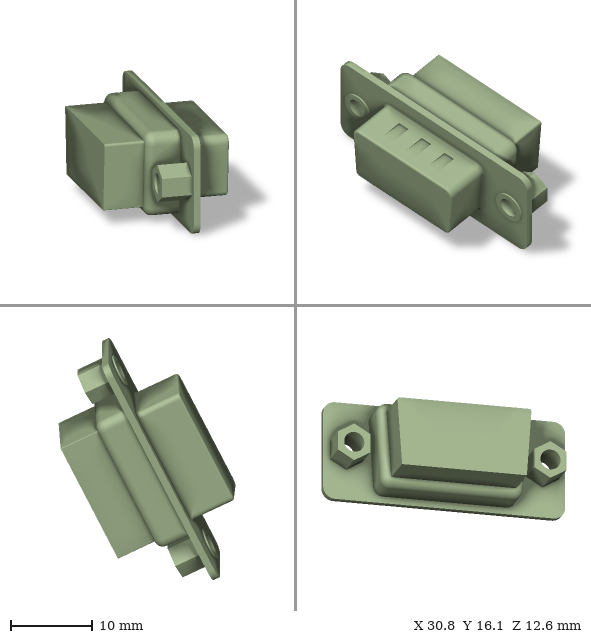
import cadquery as cq
import math


TOTAL_LENGTH = 16.1

FLANGE_WIDTH = 30.81
FLANGE_HEIGHT = 12.55
FLANGE_THICKNESS = 0.88
FLANGE_CORNER_RADIUS = 1.5

SCREW_SPACING = 24.99
HEX_SIDES = 6
HEX_ACROSS_FLATS = 4.12
HEX_LENGTH = 3.8
SCREW_HOLE_DIAMETER = 2.56
RIVET_DIAMETER = 4.06
RIVET_PROTRUSION = 0.2
RIVET_END_Y = FLANGE_THICKNESS + RIVET_PROTRUSION

SIDE_ANGLE = math.radians(4.0)
PLUG_WIDTH = 16.5
PLUG_HEIGHT = 8.65
PLUG_TOP_RADIUS = 0.3
PLUG_BOTTOM_RADIUS = 0.1
PLUG_REACH = 9.38

SHELL_MARGIN = 1.1
SHELL_REACH = 4.33
SHELL_EDGE_RADIUS = 1.07

REAR_WIDTH = 15.88
REAR_HEIGHT = 7.9
REAR_TOP_RADIUS = 1.04
REAR_BOTTOM_RADIUS = 0.7
REAR_REACH = TOTAL_LENGTH - PLUG_REACH
REAR_EDGE_RADIUS = 0.3
REAR_ROOT_RADIUS = 0.3

ROOT_SEARCH_MARGIN = 1.0
ROOT_SEARCH_TOLERANCE = 0.01

RECESS_COUNT = 3
RECESS_PITCH = 3.75
RECESS_WIDTH = 1.55
RECESS_LENGTH = 2.72
RECESS_START_Y = 2.22
RECESS_MAX_DEPTH = 0.3


def d_body(mid_width, height, top_radius, bottom_radius, y_start, y_end):
    """D-shaped prism, wider at the top, with rounded corners."""
    half_height = height / 2
    flare = half_height * math.tan(SIDE_ANGLE)
    top_half = mid_width / 2 + flare
    bottom_half = mid_width / 2 - flare
    return (
        cq.Workplane("XZ", origin=(0, y_start, 0))
        .moveTo(-top_half, half_height)
        .lineTo(top_half, half_height)
        .lineTo(bottom_half, -half_height)
        .lineTo(-bottom_half, -half_height)
        .close()
        .extrude(y_start - y_end)
        .edges("|Y and >Z")
        .fillet(top_radius)
        .edges("|Y and <Z")
        .fillet(bottom_radius)
    )


def flange():
    return (
        cq.Workplane("XZ", origin=(0, FLANGE_THICKNESS, 0))
        .rect(FLANGE_WIDTH, FLANGE_HEIGHT)
        .extrude(FLANGE_THICKNESS)
        .edges("|Y")
        .fillet(FLANGE_CORNER_RADIUS)
    )


def plug():
    return d_body(PLUG_WIDTH, PLUG_HEIGHT, PLUG_TOP_RADIUS, PLUG_BOTTOM_RADIUS, 0, -PLUG_REACH)


def front_shell():
    """Uniform offset of the plug outline with a rounded front rim."""
    return d_body(
        PLUG_WIDTH + 2 * SHELL_MARGIN / math.cos(SIDE_ANGLE),
        PLUG_HEIGHT + 2 * SHELL_MARGIN,
        PLUG_TOP_RADIUS + SHELL_MARGIN,
        PLUG_BOTTOM_RADIUS + SHELL_MARGIN,
        0,
        -SHELL_REACH,
    ).faces("<Y").edges().fillet(SHELL_EDGE_RADIUS)


def flange_with_rear_body():
    rear = d_body(
        REAR_WIDTH, REAR_HEIGHT, REAR_TOP_RADIUS, REAR_BOTTOM_RADIUS, REAR_REACH, FLANGE_THICKNESS
    ).faces(">Y").edges().fillet(REAR_EDGE_RADIUS)
    half_x = REAR_WIDTH / 2 + ROOT_SEARCH_MARGIN
    half_z = REAR_HEIGHT / 2 + ROOT_SEARCH_MARGIN
    root_edges = cq.selectors.BoxSelector(
        (-half_x, FLANGE_THICKNESS - ROOT_SEARCH_TOLERANCE, -half_z),
        (half_x, FLANGE_THICKNESS + ROOT_SEARCH_TOLERANCE, half_z),
    )
    return flange().union(rear).edges(root_edges).fillet(REAR_ROOT_RADIUS)


def recesses():
    """Wedge cuts whose floors slope down toward the flange."""
    top_z = REAR_HEIGHT / 2
    wedge = (
        cq.Workplane("YZ", origin=(-RECESS_WIDTH / 2, 0, 0))
        .moveTo(RECESS_START_Y, top_z)
        .lineTo(RECESS_START_Y + RECESS_LENGTH, top_z)
        .lineTo(RECESS_START_Y, top_z - RECESS_MAX_DEPTH)
        .close()
        .extrude(RECESS_WIDTH)
    )
    cuts = cq.Workplane("YZ")
    for index in range(RECESS_COUNT):
        x = (index - (RECESS_COUNT - 1) / 2) * RECESS_PITCH
        cuts = cuts.add(wedge.translate((x, 0, 0)))
    return cuts.combine()


def screw_plane(y):
    """Work plane facing -Y with a point on each jack screw axis."""
    return cq.Workplane("XZ", origin=(0, y, 0)).rarray(SCREW_SPACING, 1, 2, 1)


def hex_post(x):
    """Hexagonal post with two flats facing sideways and corners up and down."""
    half_sector = 180 / HEX_SIDES
    across_corners = HEX_ACROSS_FLATS / math.cos(math.radians(half_sector))
    return (
        cq.Workplane("XZ")
        .transformed(rotate=(0, 0, half_sector))
        .polygon(HEX_SIDES, across_corners)
        .extrude(HEX_LENGTH)
        .translate((x, 0, 0))
    )


def rivets():
    return screw_plane(RIVET_END_Y).circle(RIVET_DIAMETER / 2).extrude(RIVET_END_Y)


def screw_holes():
    return screw_plane(RIVET_END_Y).circle(SCREW_HOLE_DIAMETER / 2).extrude(RIVET_END_Y + HEX_LENGTH)


result = (
    flange_with_rear_body()
    .union(front_shell())
    .union(plug())
    .union(hex_post(-SCREW_SPACING / 2))
    .union(hex_post(SCREW_SPACING / 2))
    .union(rivets())
    .cut(recesses())
    .cut(screw_holes())
)